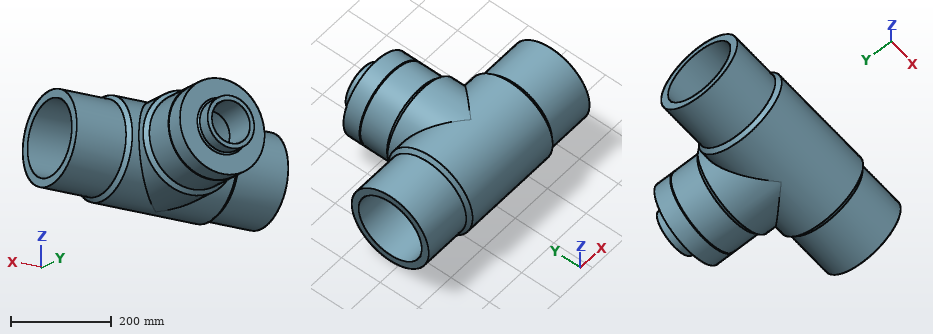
import cadquery as cq

run_length = 500.0
pipe_diameter = 200.0
pipe_bore = 163.5

collar_diameter = 218.0
collar_reach = 133.5
collar_chamfer = (collar_diameter - pipe_diameter) / 2

joint_y = 203.5
shoulder_y = 246.5
joint_chamfer = 1.5
spigot_end_y = 278.5

spigot_diameter = 110.0
spigot_bore = 90.0
flare_width = 4.0
flare_height = 3.0


def rod_along_x(diameter, length):
    """Cylinder on the X axis, centred on the origin."""
    return cq.Workplane("YZ").circle(diameter / 2).extrude(length / 2, both=True)


def rod_along_y(diameter, start_y, end_y):
    """Cylinder on the Y axis from start_y to end_y."""
    return cq.Workplane("XZ", origin=(0, start_y, 0)).circle(diameter / 2).extrude(start_y - end_y)


def make_tee():
    """Hollow tee with chamfered collars around its three pipe ends."""
    run_collar = rod_along_x(collar_diameter, 2 * collar_reach).faces("<X or >X").chamfer(collar_chamfer)
    branch_collar = rod_along_y(collar_diameter, 0, collar_reach).faces(">Y").chamfer(collar_chamfer)
    outside = run_collar.union(branch_collar)
    outside = outside.union(rod_along_x(pipe_diameter, run_length))
    outside = outside.union(rod_along_y(pipe_diameter, 0, joint_y))
    run_hole = rod_along_x(pipe_bore, run_length)
    branch_hole = rod_along_y(pipe_bore, 0, joint_y)
    return outside.cut(run_hole).cut(branch_hole)


def make_reducer():
    """Stepped ring chamfered where it meets the branch end, with a narrow spigot flared at its root."""
    body = rod_along_y(pipe_diameter, joint_y, shoulder_y).faces("<Y").chamfer(joint_chamfer)
    spigot = rod_along_y(spigot_diameter, shoulder_y, spigot_end_y)
    flare = cq.Workplane(cq.Solid.makeCone(
        spigot_diameter / 2 + flare_width,
        spigot_diameter / 2,
        flare_height,
        cq.Vector(0, shoulder_y, 0),
        cq.Vector(0, 1, 0),
    ))
    hole = rod_along_y(spigot_bore, joint_y, spigot_end_y)
    return body.union(spigot).union(flare).cut(hole)


tee = make_tee()
reducer = make_reducer()
result = cq.Compound.makeCompound([tee.val(), reducer.val()])